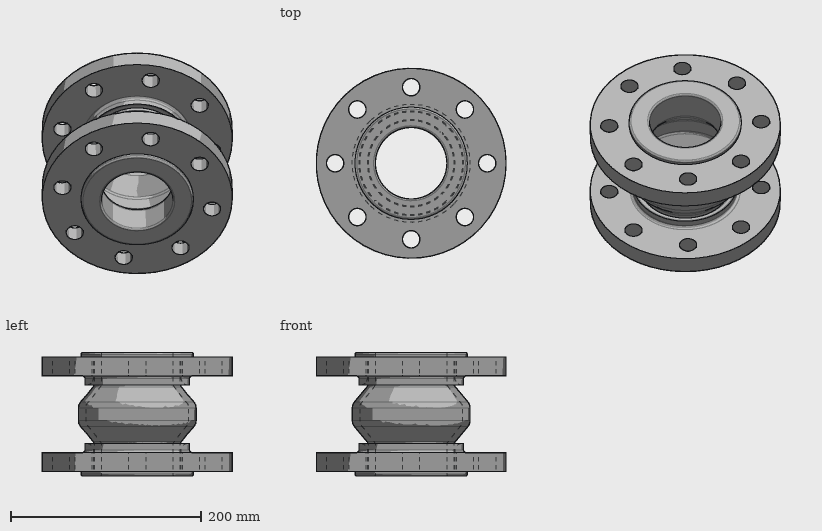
import cadquery as cq

overall_height = 130.0
half_height = overall_height / 2

flange_diameter = 199.8
flange_thickness = 20.0
hub_diameter = 110.0
hub_height = 9.8
hub_fillet = 3.0
flange_bore_diameter = 92.0
bore_mouth_radius = 8.0
bolt_circle_diameter = 159.8
bolt_hole_diameter = 18.0
bolt_count = 8

seal_diameter = 118.0
seal_thickness = 4.7
seal_edge_fillet = 2.0
bore_diameter = 75.0
neck_diameter = 90.0
bulge_diameter = 124.0
bulge_bore_diameter = 108.0
bulge_corner_z = 10.2
bulge_bore_corner_z = 9.5
neck_corner_z = 30.5
outer_bulge_fillet = 10.0
inner_bulge_fillet = 5.0
neck_fillet = 6.0

flange_top_z = half_height - seal_thickness
flange_bottom_z = flange_top_z - flange_thickness
hub_end_z = flange_bottom_z - hub_height


def circles(radius, height):
    """Edge filter: circles of this radius at +height or -height."""
    tolerance = 0.02

    def matches(edge):
        return (
            edge.geomType() == "CIRCLE"
            and abs(edge.radius() - radius) < tolerance
            and abs(abs(edge.Center().z) - height) < tolerance
        )

    return matches


def make_bellows():
    """Hollow bulged sleeve with a raised sealing collar at each end."""
    bore_radius = bore_diameter / 2
    neck_radius = neck_diameter / 2
    bulge_radius = bulge_diameter / 2
    bulge_bore_radius = bulge_bore_diameter / 2
    seal_radius = seal_diameter / 2

    upper_half = [
        (bulge_bore_radius, bulge_bore_corner_z),
        (bore_radius, neck_corner_z),
        (bore_radius, half_height),
        (seal_radius, half_height),
        (seal_radius, flange_top_z),
        (neck_radius, flange_top_z),
        (neck_radius, neck_corner_z),
        (bulge_radius, bulge_corner_z),
    ]
    lower_half = [(r, -z) for r, z in reversed(upper_half)]
    outline = cq.Workplane("XZ").polyline(upper_half + lower_half).close()
    bellows = outline.revolve(360, (0, 0), (0, 1))

    rounded_corners = [
        (bulge_radius, bulge_corner_z, outer_bulge_fillet),
        (bulge_bore_radius, bulge_bore_corner_z, inner_bulge_fillet),
        (neck_radius, neck_corner_z, neck_fillet),
        (bore_radius, neck_corner_z, neck_fillet),
        (seal_radius, half_height, seal_edge_fillet),
        (bore_radius, half_height, seal_edge_fillet),
    ]
    for radius, height, fillet in rounded_corners:
        bellows = bellows.edges().filter(circles(radius, height)).fillet(fillet)
    return bellows


def make_flange():
    """Upper flange: drilled plate and hub, bored around the bellows neck with a rounded mouth."""
    plate = (
        cq.Workplane("XY")
        .workplane(offset=flange_bottom_z)
        .circle(flange_diameter / 2)
        .extrude(flange_thickness)
    )
    hub = (
        cq.Workplane("XY")
        .workplane(offset=hub_end_z)
        .circle(hub_diameter / 2)
        .extrude(hub_height)
    )
    flange = plate.union(hub)
    flange = flange.edges().filter(circles(hub_diameter / 2, flange_bottom_z)).fillet(hub_fillet)

    bore_radius = flange_bore_diameter / 2
    neck_bore = (
        cq.Workplane("XY")
        .workplane(offset=hub_end_z)
        .circle(bore_radius)
        .extrude(flange_top_z - hub_end_z)
    )
    flange = flange.cut(neck_bore)
    flange = flange.edges().filter(circles(bore_radius, hub_end_z)).fillet(bore_mouth_radius)

    bolt_holes = (
        cq.Workplane("XY")
        .workplane(offset=flange_bottom_z)
        .polarArray(bolt_circle_diameter / 2, 0, 360, bolt_count)
        .circle(bolt_hole_diameter / 2)
        .extrude(flange_thickness)
    )
    return flange.cut(bolt_holes)


bellows = make_bellows()

flange_turns = (0, 180)
flanges = []
for turn in flange_turns:
    flange = make_flange().rotate((0, 0, 0), (1, 0, 0), turn)
    flanges.append(flange.val())

result = cq.Compound.makeCompound([bellows.val(), *flanges])